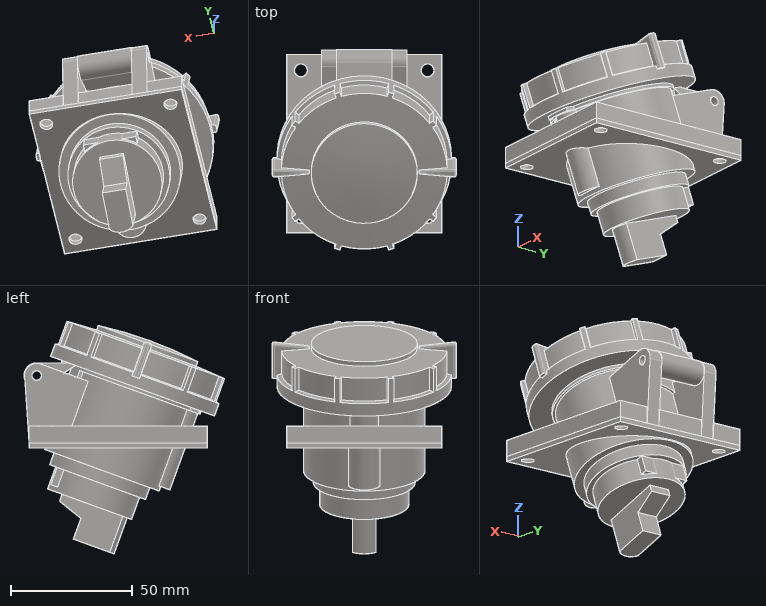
import cadquery as cq
import math

TILT = 20.0
AXIS_Y = 3.4
OVERLAP = 1.0

PLATE_X = 63.8
PLATE_Y = 73.3
GASKET_T = 2.1
PLATE_T = 7.0
BOLT_X = 26.0
BOLT_Y = 30.1
BOLT_D = 5.2

BARREL_R = 25.05
BARREL_BOTTOM = -9.65
STEP_R = 21.0
STEP_BOTTOM = -14.85
NECK_R = 18.4
NECK_BOTTOM = -24.5
COLLAR_R = 26.3
COLLAR_BOTTOM = 25.7

BACK_KEY_HALF_X = 13.5
BACK_KEY_BOTTOM = 18.0
FRONT_KEY_HALF_X = 6.4
FRONT_KEY_R = 30.0
PAD_HALF_X = 11.0
PAD_Y = 17.7
PAD_BOTTOM = -22.4

RIB_REACH = 29.05
RIB_UPPER_R = 5.9
RIB_LOWER_R = 6.65
RIB_BOTTOM = -7.7
RIB_STEP = 3.0

BLADE_T = 9.8
BLADE_BACK_Y = 12.05
BLADE_HEEL_Y = 1.4
BLADE_FLAT_Y = -14.55
BLADE_NOSE_Y = -16.5
BLADE_HEEL_TOP = -27.55
BLADE_HEEL_BOTTOM = -31.2
BLADE_BOTTOM = -40.27

RING_R = 35.9
RING_WALL_R = 34.05
RING_BOTTOM = 27.1
RING_LEDGE = 32.5
RING_LEDGE_RISE = 0.5
RING_EDGE_TOP = 43.0
DISC_R = 21.8
DISC_BOTTOM = 43.75
DISC_EDGE_TOP = 45.75
DOME_TOP = 47.15

GRIP_COUNT = 10
GRIP_W = 2.3
WING_R = 37.8
WING_TIP_R = 22.5
WING_W = 3.4
WING_TIP_W = 1.6
WING_BOTTOM = 31.05
WING_TOP = 46.15
WING_TIP_TOP = 44.6
WING_EDGE_FILLET = 0.9
WING_TIP_FILLET = 0.7
WING_TOP_FILLET = 0.65

HINGE_Y = 33.5
HINGE_Z = 29.85
HINGE_HOLE_D = 3.8
LUG_R = 5.0
LUG_INNER_X = 11.3
LUG_OUTER_X = 17.6
LUG_FRONT_Y = 17.8
ARM_R = 5.22
ARM_STEP_Y = 21.3
ARM_STEP_TOP = 36.5
ARM_LENGTH = 22.0
ARM_UNDERSIDE_ANGLE = 33.0
SKIRT_R = 30.8
SKIRT_BOTTOM = 25.9

TILT_SIN = math.sin(math.radians(TILT))
TILT_COS = math.cos(math.radians(TILT))


def tilted(part):
    """Move a part from the upright socket frame to its tilted place on the plate."""
    return part.rotate((0, 0, 0), (1, 0, 0), TILT).translate((0, AXIS_Y, 0))


def tilted_point(y, height):
    """Global (y, z) of a point given in the socket frame."""
    return (AXIS_Y + y * TILT_COS - height * TILT_SIN, y * TILT_SIN + height * TILT_COS)


def cylinder(radius, bottom, top, y=0.0):
    return cq.Workplane("XY", origin=(0, y, bottom)).circle(radius).extrude(top - bottom)


def block(half_x, y_min, y_max, bottom, top):
    size = (2 * half_x, y_max - y_min, top - bottom)
    return cq.Workplane("XY").box(*size, centered=(True, False, False)).translate((0, y_min, bottom))


def hinge_point(radius, angle):
    """Global (y, z) on a circle about the hinge axis, angle in degrees from +Y towards +Z."""
    a = math.radians(angle)
    return (HINGE_Y + radius * math.cos(a), HINGE_Z + radius * math.sin(a))


def plate_slab(bottom, thickness):
    corners = [(sx * BOLT_X, sy * BOLT_Y) for sx in (-1, 1) for sy in (-1, 1)]
    slab = cq.Workplane("XY", origin=(0, 0, bottom)).rect(PLATE_X, PLATE_Y).extrude(thickness)
    bolt_holes = cq.Workplane("XY", origin=(0, 0, bottom)).pushPoints(corners).circle(BOLT_D / 2)
    return slab.cut(bolt_holes.extrude(thickness))


def barrel():
    profile = [
        (0, NECK_BOTTOM),
        (NECK_R, NECK_BOTTOM),
        (NECK_R, STEP_BOTTOM),
        (STEP_R, STEP_BOTTOM),
        (STEP_R, BARREL_BOTTOM),
        (BARREL_R, BARREL_BOTTOM),
        (BARREL_R, COLLAR_BOTTOM),
        (COLLAR_R, COLLAR_BOTTOM),
        (COLLAR_R, RING_BOTTOM + OVERLAP),
        (0, RING_BOTTOM + OVERLAP),
    ]
    body = cq.Workplane("XZ").polyline(profile).close().revolve(360, (0, 0), (0, 1))
    pad = block(PAD_HALF_X, 0, PAD_Y, PAD_BOTTOM, STEP_BOTTOM + OVERLAP)
    return body.union(pad)


def keys():
    top = RING_BOTTOM + OVERLAP
    back_zone = block(BACK_KEY_HALF_X, 0, COLLAR_R, BACK_KEY_BOTTOM, top)
    back_key = cylinder(COLLAR_R, BACK_KEY_BOTTOM, top).intersect(back_zone)
    front_zone = block(FRONT_KEY_HALF_X, -FRONT_KEY_R, 0, COLLAR_BOTTOM, top)
    front_key = cylinder(FRONT_KEY_R, COLLAR_BOTTOM, top).intersect(front_zone)
    return back_key.union(front_key)


def keyway_rib():
    lower_top = RIB_STEP + RIB_REACH * TILT_SIN
    lower = cylinder(RIB_LOWER_R, RIB_BOTTOM, lower_top, RIB_LOWER_R - RIB_REACH)
    upper = cylinder(RIB_UPPER_R, RIB_BOTTOM, RING_BOTTOM, RIB_UPPER_R - RIB_REACH)
    return lower.union(upper)


def blade():
    side = [
        (BLADE_BACK_Y, NECK_BOTTOM + OVERLAP),
        (BLADE_BACK_Y, BLADE_HEEL_TOP),
        (BLADE_HEEL_Y, BLADE_HEEL_BOTTOM),
        (BLADE_HEEL_Y, BLADE_BOTTOM),
        (BLADE_NOSE_Y, BLADE_BOTTOM),
        (BLADE_NOSE_Y, NECK_BOTTOM + OVERLAP),
    ]
    plate = cq.Workplane("YZ").polyline(side).close().extrude(BLADE_T / 2, both=True)
    footprint = (
        cq.Workplane("XY", origin=(0, 0, BLADE_BOTTOM))
        .moveTo(BLADE_T / 2, BLADE_FLAT_Y)
        .lineTo(BLADE_T / 2, BLADE_BACK_Y)
        .lineTo(-BLADE_T / 2, BLADE_BACK_Y)
        .lineTo(-BLADE_T / 2, BLADE_FLAT_Y)
        .threePointArc((0, BLADE_NOSE_Y), (BLADE_T / 2, BLADE_FLAT_Y))
        .close()
        .extrude(NECK_BOTTOM + OVERLAP - BLADE_BOTTOM)
    )
    return plate.intersect(footprint)


def ring_blank():
    """Ring and lid at full radius, with the conical top face and the domed disc."""
    cone_slope = (RING_EDGE_TOP - DISC_BOTTOM) / (RING_WALL_R - DISC_R)
    rim_top = RING_EDGE_TOP + cone_slope * (RING_R - RING_WALL_R)
    dome_mid_r = DISC_R / 2
    dome_rise = DOME_TOP - DISC_EDGE_TOP
    dome_sphere_r = (DISC_R ** 2 + dome_rise ** 2) / (2 * dome_rise)
    dome_mid_top = DOME_TOP - dome_sphere_r + math.sqrt(dome_sphere_r ** 2 - dome_mid_r ** 2)
    return (
        cq.Workplane("XZ")
        .moveTo(0, RING_BOTTOM)
        .lineTo(RING_R, RING_BOTTOM)
        .lineTo(RING_R, rim_top)
        .lineTo(DISC_R, DISC_BOTTOM)
        .lineTo(DISC_R, DISC_EDGE_TOP)
        .threePointArc((dome_mid_r, dome_mid_top), (0, DOME_TOP))
        .close()
        .revolve(360, (0, 0), (0, 1))
    )


def grip_pockets():
    """Annulus above the sloping ledge, interrupted where the grips stand."""
    clear_r = RING_R + OVERLAP
    ledge_slope = RING_LEDGE_RISE / (RING_R - RING_WALL_R)
    outline = [
        (RING_WALL_R, RING_LEDGE + RING_LEDGE_RISE),
        (clear_r, RING_LEDGE - ledge_slope * OVERLAP),
        (clear_r, DISC_BOTTOM),
        (RING_WALL_R, DISC_BOTTOM),
    ]
    pockets = cq.Workplane("XZ").polyline(outline).close().revolve(360, (0, 0), (0, 1))
    for i in range(GRIP_COUNT):
        if i % (GRIP_COUNT // 2) == 0:
            continue
        grip = block(GRIP_W / 2, DISC_R, clear_r + OVERLAP, RING_BOTTOM, DISC_EDGE_TOP)
        pockets = pockets.cut(grip.rotate((0, 0, 0), (0, 0, 1), i * 360 / GRIP_COUNT - 90))
    return pockets


def ring_and_lid():
    return ring_blank().cut(grip_pockets())


def wing():
    """Handle on the +X side: upright bar on the ring wall with a ridge tapering to the disc."""
    tip_foot = DISC_BOTTOM - OVERLAP
    inner_r = RING_WALL_R - OVERLAP
    side = [
        (inner_r, WING_BOTTOM),
        (WING_R, WING_BOTTOM),
        (WING_R, WING_TOP),
        (WING_TIP_R, WING_TIP_TOP),
        (WING_TIP_R, tip_foot),
        (inner_r, tip_foot),
    ]
    plan = [
        (WING_TIP_R, -WING_TIP_W / 2),
        (WING_R, -WING_W / 2),
        (WING_R, WING_W / 2),
        (WING_TIP_R, WING_TIP_W / 2),
    ]
    bar = cq.Workplane("XZ").polyline(side).close().extrude(WING_W, both=True)
    footprint = cq.Workplane("XY", origin=(0, 0, WING_BOTTOM)).polyline(plan).close()
    bar = bar.intersect(footprint.extrude(WING_TOP - WING_BOTTOM))
    bar = bar.edges("|Z and >X").fillet(WING_EDGE_FILLET)
    bar = bar.edges("|Z and <X").fillet(WING_TIP_FILLET)
    return bar.faces(">Z").edges().fillet(WING_TOP_FILLET)


def hinge_lug_profile(x_start):
    """Lug outline: round at the hinge, square to the socket axis, down to the plate's back edge."""
    foot = (PLATE_Y / 2, GASKET_T)
    to_foot = math.degrees(math.atan2(foot[1] - HINGE_Z, foot[0] - HINGE_Y))
    foot_distance = math.hypot(foot[0] - HINGE_Y, foot[1] - HINGE_Z)
    tangent_angle = to_foot + math.degrees(math.acos(LUG_R / foot_distance))
    top_angle = 90 + TILT
    hinge_height = (HINGE_Z * TILT_COS) - (HINGE_Y - AXIS_Y) * TILT_SIN
    front_top = tilted_point(LUG_FRONT_Y, hinge_height + LUG_R)
    front_foot_height = (GASKET_T - LUG_FRONT_Y * TILT_SIN) / TILT_COS
    return (
        cq.Workplane("YZ", origin=(x_start, 0, 0))
        .moveTo(*foot)
        .lineTo(*hinge_point(LUG_R, tangent_angle))
        .threePointArc(
            hinge_point(LUG_R, (tangent_angle + top_angle) / 2),
            hinge_point(LUG_R, top_angle),
        )
        .lineTo(*front_top)
        .lineTo(*tilted_point(LUG_FRONT_Y, front_foot_height))
        .close()
    )


def hinge_lugs():
    width = LUG_OUTER_X - LUG_INNER_X
    right = hinge_lug_profile(LUG_INNER_X).extrude(width)
    left = hinge_lug_profile(-LUG_OUTER_X).extrude(width)
    return right.union(left)


def hinge_arm():
    """Lid arm between the lugs, with its underside tangent to the knuckle."""
    underside_angle = 270 - ARM_UNDERSIDE_ANGLE
    tangent = hinge_point(ARM_R, underside_angle)
    slope = math.radians(ARM_UNDERSIDE_ANGLE)
    inner_end = (tangent[0] - ARM_LENGTH * math.cos(slope), tangent[1] + ARM_LENGTH * math.sin(slope))
    arm = (
        cq.Workplane("YZ")
        .moveTo(*hinge_point(ARM_R, 90))
        .lineTo(ARM_STEP_Y, HINGE_Z + ARM_R)
        .lineTo(ARM_STEP_Y, ARM_STEP_TOP)
        .lineTo(*inner_end)
        .lineTo(*tangent)
        .threePointArc(hinge_point(ARM_R, (underside_angle - 270) / 2), hinge_point(ARM_R, 90))
        .close()
        .extrude(LUG_INNER_X, both=True)
    )
    skirt_zone = block(LUG_INNER_X, COLLAR_R, SKIRT_R, SKIRT_BOTTOM, RING_BOTTOM + OVERLAP)
    skirt = cylinder(SKIRT_R, SKIRT_BOTTOM, RING_BOTTOM + OVERLAP).intersect(skirt_zone)
    return arm.union(tilted(skirt))


def hinge_hole():
    hole = cq.Workplane("YZ").center(HINGE_Y, HINGE_Z).circle(HINGE_HOLE_D / 2)
    return hole.extrude(LUG_OUTER_X, both=True)


def make_socket():
    upright = barrel().union(keys()).union(keyway_rib()).union(blade())
    upright = upright.union(ring_and_lid())
    for angle in (0, 180):
        upright = upright.union(wing().rotate((0, 0, 0), (0, 0, 1), angle))
    socket = tilted(upright).union(plate_slab(GASKET_T, PLATE_T))
    socket = socket.union(hinge_lugs()).union(hinge_arm())
    return socket.cut(hinge_hole())


def make_gasket(socket):
    """Flat gasket under the plate, opened to the outline of the barrel and its rib."""
    return plate_slab(0, GASKET_T).cut(socket)


socket = make_socket()
gasket = make_gasket(socket)

result = cq.Compound.makeCompound([socket.val(), gasket.val()])